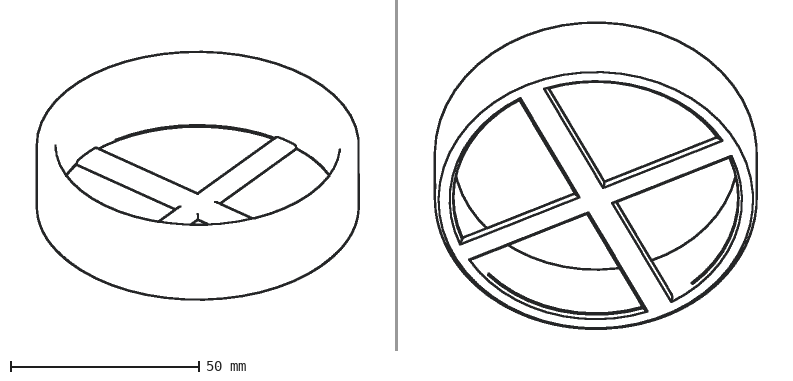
import cadquery as cq

outer_diameter = 85.5
inner_diameter = 75.5
ring_height = 22.0
rim_fillet = 1.0
base_chamfer = 1.0
chamfer_blend = 0.6

x_bar_width = 8.55
y_bar_width = 7.0
bar_thickness = 2.0
bar_chamfer = 0.8
bar_edge_fillet = 0.74

bar_length = (outer_diameter + inner_diameter) / 2


def make_ring():
    ring = (
        cq.Workplane("XY")
        .circle(outer_diameter / 2)
        .circle(inner_diameter / 2)
        .extrude(ring_height)
    )
    return ring.faces(">Z").edges().fillet(rim_fillet)


def make_cross():
    x_bar = cq.Workplane("XY").rect(bar_length, x_bar_width).extrude(bar_thickness)
    y_bar = cq.Workplane("XY").rect(y_bar_width, bar_length).extrude(bar_thickness)
    cross = x_bar.union(y_bar)
    return cross.faces(">Z").edges().fillet(bar_edge_fillet)


def finish_base(body, chamfer):
    """Chamfer every bottom edge and round where the chamfer meets the walls."""
    body = body.faces("<Z").edges().chamfer(chamfer)
    margin = 0.01
    slab_bottom = (-outer_diameter, -outer_diameter, chamfer - margin)
    slab_top = (outer_diameter, outer_diameter, chamfer + margin)
    chamfer_tops = cq.selectors.BoxSelector(slab_bottom, slab_top, boundingbox=True)
    return body.edges(chamfer_tops).fillet(chamfer_blend)


result = finish_base(make_ring(), base_chamfer).union(finish_base(make_cross(), bar_chamfer))